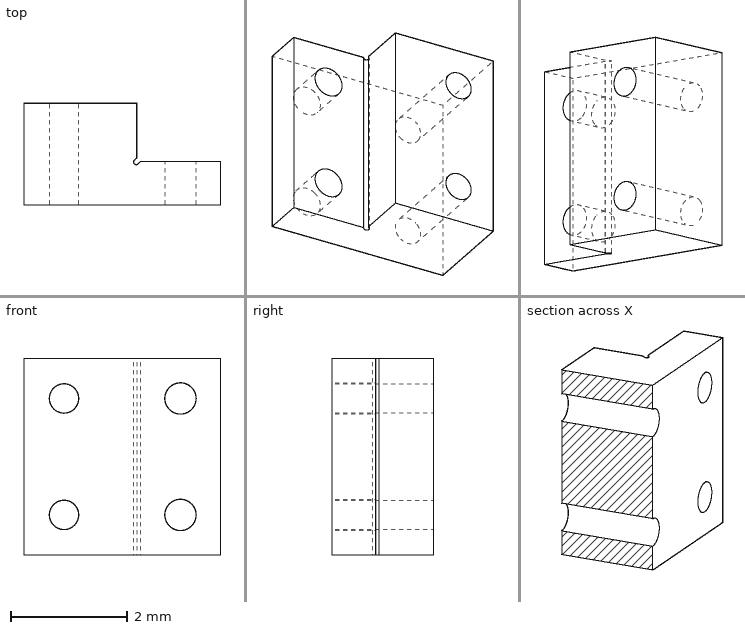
import cadquery as cq

side = 3.38
depth = 1.75

body_width = 1.94
flange_thickness = 0.75

relief_width = 0.088
relief_reach = 0.015

hole_spacing = 2.0
body_hole_diameter = 0.5
flange_hole_diameter = 0.535


def stepped_block():
    """L-shaped profile in XY, extruded along Z."""
    return (
        cq.Workplane("XY")
        .polyline([
            (0, 0),
            (side, 0),
            (side, flange_thickness),
            (body_width, flange_thickness),
            (body_width, depth),
            (0, depth),
        ])
        .close()
        .extrude(side)
    )


def corner_relief():
    """Round-ended diagonal slot that clears the inner corner along its full height."""
    half_width = relief_width / 2
    open_end = relief_width
    slot = (
        cq.Workplane("XY")
        .moveTo(open_end, half_width)
        .lineTo(-relief_reach, half_width)
        .threePointArc((-relief_reach - half_width, 0), (-relief_reach, -half_width))
        .lineTo(open_end, -half_width)
        .close()
        .extrude(side)
    )
    return slot.rotate((0, 0, 0), (0, 0, 1), 45).translate((body_width, flange_thickness, 0))


def hole_pair(x, diameter):
    """Two through holes along Y, one above the other."""
    low = (side - hole_spacing) / 2
    return (
        cq.Workplane("XZ")
        .pushPoints([(x, low), (x, low + hole_spacing)])
        .circle(diameter / 2)
        .extrude(-depth)
    )


body_hole_x = (side - hole_spacing) / 2
flange_hole_x = body_hole_x + hole_spacing

result = (
    stepped_block()
    .cut(corner_relief())
    .cut(hole_pair(body_hole_x, body_hole_diameter))
    .cut(hole_pair(flange_hole_x, flange_hole_diameter))
)